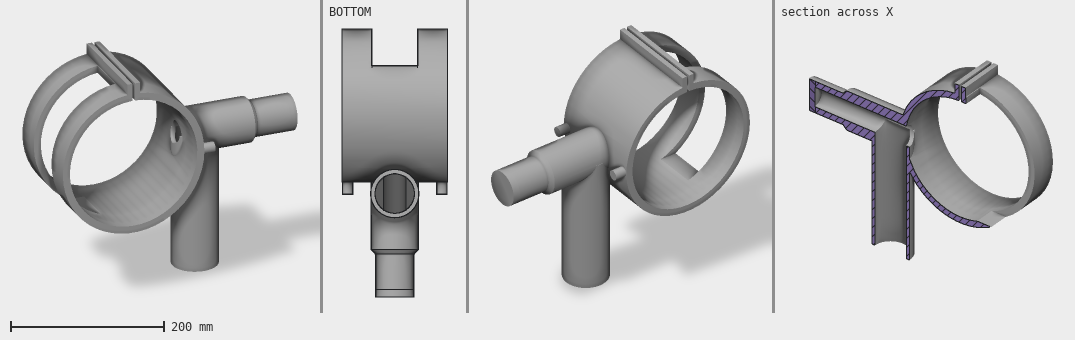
import cadquery as cq
import math

ring_width = 138.0
ring_outer_radius = 100.0
ring_inner_radius = 90.0
ring_middle_radius = (ring_outer_radius + ring_inner_radius) / 2

slit_width = 4.0
lug_face_offset = 9.0
lug_height = 15.0
lug_foot_z = math.sqrt(ring_outer_radius**2 - lug_face_offset**2)
lug_top_z = lug_foot_z + lug_height

window_width = 60.0
window_back_y = -10.0
window_floor_z = -85.3

outlet_radius = 31.5
outlet_wall = 5.8
outlet_y = 115.0
body_radius = 31.0
outlet_bottom_z = -192.0
spigot_radius = 25.0
spigot_end_y = 250.0
neck_y = 194.0
shoulder_y = 188.0
flow_bore_radius = 15.0

cap_length = 10.0
cap_inner_y = spigot_end_y - cap_length

pin_radius = 7.0
pin_spacing = 123.0
pin_end_y = 116.0


def cylinder_along_x(radius):
    """Cylinder as wide as the ring; its seam is at the top, inside the slit."""
    end_plane = cq.Plane(origin=(-ring_width / 2, 0, 0), xDir=(0, 0, 1), normal=(1, 0, 0))
    return cq.Workplane(end_plane).circle(radius).extrude(ring_width)


def cylinder_along_y(radius, start_y, end_y, x=0.0):
    """Cylinder centred on the plane z = 0, running in +Y."""
    start_plane = cq.Plane(origin=(x, start_y, 0), xDir=(0, 0, 1), normal=(0, 1, 0))
    return cq.Workplane(start_plane).circle(radius).extrude(end_y - start_y)


def vertical_cylinder(radius):
    """Cylinder on the outlet axis, from the outlet end up to the spigot axis."""
    end_plane = cq.Plane(origin=(0, outlet_y, outlet_bottom_z), xDir=(0, -1, 0), normal=(0, 0, 1))
    return cq.Workplane(end_plane).circle(radius).extrude(-outlet_bottom_z)


def make_clamp_ring():
    lugs = cq.Workplane("XY").box(
        ring_width, 2 * lug_face_offset, lug_top_z, centered=(True, True, False)
    )
    slit = cq.Workplane("XY").box(
        ring_width, slit_width, lug_top_z, centered=(True, True, False)
    )
    window = cq.Workplane("XY").box(
        window_width,
        ring_outer_radius + window_back_y,
        ring_outer_radius - window_floor_z,
        centered=(True, False, False),
    ).translate((0, -ring_outer_radius, window_floor_z))
    ring = cylinder_along_x(ring_outer_radius).union(lugs)
    return ring.cut(cylinder_along_x(ring_inner_radius)).cut(slit).cut(window)


def make_spigot():
    """Stepped horizontal pipe, revolved about Y, with its inner end buried in the ring wall."""
    profile = [
        (0, 0),
        (0, body_radius),
        (shoulder_y, body_radius),
        (neck_y, spigot_radius),
        (cap_inner_y, spigot_radius),
        (cap_inner_y, 0),
    ]
    spigot = cq.Workplane("YZ").polyline(profile).close().revolve(360, (0, 0, 0), (1, 0, 0))
    return spigot.cut(cylinder_along_x(ring_middle_radius))


def make_pin(x):
    """Terminal pin, with its inner end buried in the ring wall."""
    return cylinder_along_y(pin_radius, ring_middle_radius, pin_end_y, x)


def make_saddle():
    pipes = vertical_cylinder(outlet_radius).union(make_spigot())
    saddle = make_clamp_ring().union(pipes)
    for side in (-1, 1):
        saddle = saddle.union(make_pin(side * pin_spacing / 2))
    saddle = saddle.cut(vertical_cylinder(outlet_radius - outlet_wall))
    return saddle.cut(cylinder_along_y(flow_bore_radius, 0, cap_inner_y))


def make_end_cap():
    return cylinder_along_y(spigot_radius, cap_inner_y, spigot_end_y)


saddle = make_saddle()
end_cap = make_end_cap()

result = cq.Compound.makeCompound([saddle.val(), end_cap.val()])